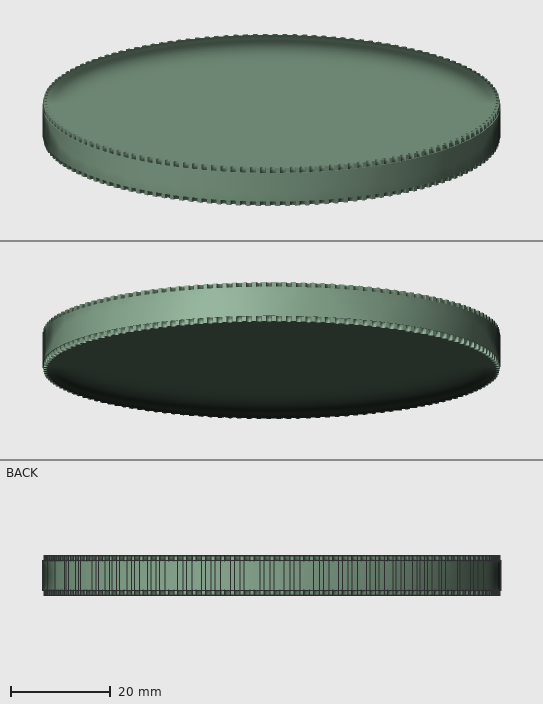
import cadquery as cq
import math

outer_diameter = 91.7
height = 8.0
tooth_count = 144
band_width = 6.0
band_thickness = 0.25
groove_depth = 0.76
groove_radius = 0.55
mouth_half_width = 0.6

outer_radius = outer_diameter / 2
tip_radius = outer_radius - band_thickness
root_radius = tip_radius - groove_depth
groove_center_radius = root_radius + groove_radius
mouth_radius = math.sqrt(tip_radius**2 - mouth_half_width**2)
pitch_angle = 2 * math.pi / tooth_count
band_bottom = (height - band_width) / 2


def polar_point(radius, offset, angle):
    """Point at a radial distance along a direction, moved sideways by offset."""
    return (
        radius * math.cos(angle) - offset * math.sin(angle),
        radius * math.sin(angle) + offset * math.cos(angle),
    )


def toothed_disc():
    """Solid disc with a tooth centred on +X and round-bottomed grooves between teeth."""
    last_groove = -pitch_angle / 2
    outline = cq.Workplane("XY").moveTo(*polar_point(mouth_radius, mouth_half_width, last_groove))
    for tooth in range(tooth_count):
        tooth_angle = tooth * pitch_angle
        groove_angle = tooth_angle + pitch_angle / 2
        outline = (
            outline
            .threePointArc(
                polar_point(tip_radius, 0, tooth_angle),
                polar_point(mouth_radius, -mouth_half_width, groove_angle),
            )
            .lineTo(*polar_point(groove_center_radius, -groove_radius, groove_angle))
            .threePointArc(
                polar_point(root_radius, 0, groove_angle),
                polar_point(groove_center_radius, groove_radius, groove_angle),
            )
        )
        if tooth < tooth_count - 1:
            outline = outline.lineTo(*polar_point(mouth_radius, mouth_half_width, groove_angle))
    return outline.close().extrude(height)


def outer_band():
    """Thin ring around the tooth tips, centred along the height."""
    return (
        cq.Workplane("XY")
        .workplane(offset=band_bottom)
        .circle(outer_radius)
        .circle(tip_radius)
        .extrude(band_width)
    )


result = toothed_disc().union(outer_band())